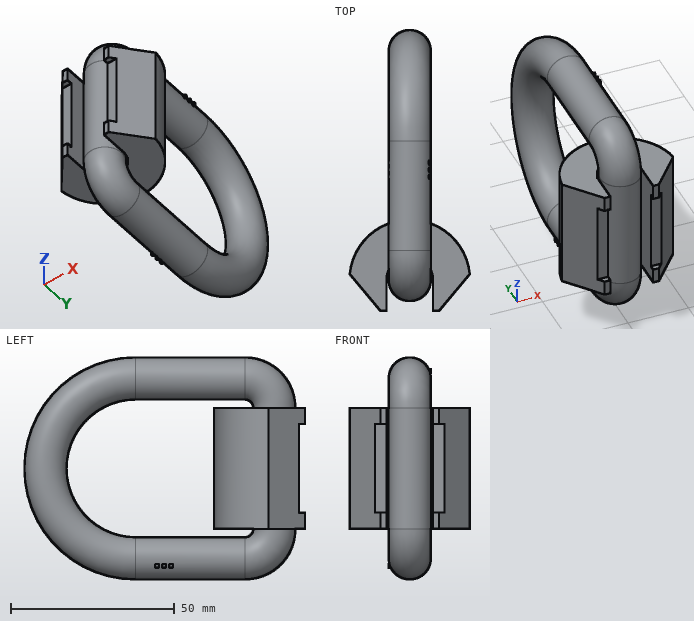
import cadquery as cq
import math


OVERALL_LENGTH = 86.0

WIRE_DIAMETER = 13.0
RING_HEIGHT = 68.0
LEG_LENGTH = 33.5
CORNER_OUTER_RADIUS = 15.5

WIRE_RADIUS = WIRE_DIAMETER / 2
BOW_RADIUS = RING_HEIGHT / 2 - WIRE_RADIUS
CORNER_RADIUS = CORNER_OUTER_RADIUS - WIRE_RADIUS
BAR_HALF_LENGTH = BOW_RADIUS - CORNER_RADIUS
BOW_CENTER_Y = CORNER_RADIUS + LEG_LENGTH

STUD_DIAMETER = 1.3
STUD_COUNT = 3
STUD_PITCH = 2.15
STUD_ROW_FROM_BOW = 8.8
STUD_ROW_OFFSET = 2.3
STUD_FACE_X = 6.5

SADDLE_RADIUS = 18.5
SADDLE_HEIGHT = 37.0
CHANNEL_WIDTH = 14.2
FOOT_WIDTH = 18.0
BEVEL_DEPTH = 11.3
RELIEF_DEPTH = 1.9
RELIEF_HEIGHT = 27.1

FOOT_Y = BOW_CENTER_Y + RING_HEIGHT / 2 - OVERALL_LENGTH
BEVEL_TOP_Y = FOOT_Y + BEVEL_DEPTH
BEVEL_TOP_X = math.sqrt(SADDLE_RADIUS**2 - BEVEL_TOP_Y**2)


def wire_ring():
    """Round wire swept along the closed D-shaped centreline."""
    corner_mid_y = CORNER_RADIUS * (1 - math.sqrt(0.5))
    corner_mid_z = BAR_HALF_LENGTH + CORNER_RADIUS * math.sqrt(0.5)
    centreline = (
        cq.Workplane("YZ")
        .moveTo(0, -BAR_HALF_LENGTH)
        .lineTo(0, BAR_HALF_LENGTH)
        .threePointArc((corner_mid_y, corner_mid_z), (CORNER_RADIUS, BOW_RADIUS))
        .lineTo(BOW_CENTER_Y, BOW_RADIUS)
        .threePointArc((BOW_CENTER_Y + BOW_RADIUS, 0), (BOW_CENTER_Y, -BOW_RADIUS))
        .lineTo(CORNER_RADIUS, -BOW_RADIUS)
        .threePointArc((corner_mid_y, -corner_mid_z), (0, -BAR_HALF_LENGTH))
        .close()
    )
    section = cq.Workplane("XY").workplane(offset=-BAR_HALF_LENGTH).circle(WIRE_RADIUS)
    return section.sweep(centreline)


def stud_row():
    """Studs on the -X face of the lower leg, rooted in the middle of the wire."""
    row_y = BOW_CENTER_Y - STUD_ROW_FROM_BOW
    row_z = -(BOW_RADIUS + STUD_ROW_OFFSET)
    return (
        cq.Workplane("YZ")
        .center(row_y, row_z)
        .rarray(STUD_PITCH, 0.9, STUD_COUNT, 1)
        .circle(STUD_DIAMETER / 2)
        .extrude(-STUD_FACE_X)
    )


def make_ring():
    """Wire ring with a stud row on each side, alike under a half turn about Y."""
    ring = wire_ring()
    for turn in (0, 180):
        ring = ring.union(stud_row().rotate((0, 0, 0), (0, 1, 0), turn))
    return ring


def saddle_blank():
    """Round-backed block with bevelled flanks running down to the feet."""
    return (
        cq.Workplane("XY")
        .moveTo(-FOOT_WIDTH / 2, FOOT_Y)
        .lineTo(FOOT_WIDTH / 2, FOOT_Y)
        .lineTo(BEVEL_TOP_X, BEVEL_TOP_Y)
        .threePointArc((0, SADDLE_RADIUS), (-BEVEL_TOP_X, BEVEL_TOP_Y))
        .close()
        .extrude(SADDLE_HEIGHT / 2, both=True)
    )


def bar_channel():
    """U-shaped channel around the bar, open through the foot faces."""
    half_width = CHANNEL_WIDTH / 2
    return (
        cq.Workplane("XY")
        .moveTo(-half_width, FOOT_Y)
        .lineTo(half_width, FOOT_Y)
        .lineTo(half_width, 0)
        .threePointArc((0, half_width), (-half_width, 0))
        .close()
        .extrude(SADDLE_HEIGHT / 2, both=True)
    )


def foot_relief():
    """Shallow cut across both foot faces, leaving a pad at each end."""
    return (
        cq.Workplane("XY")
        .box(2 * SADDLE_RADIUS, RELIEF_DEPTH, RELIEF_HEIGHT)
        .translate((0, FOOT_Y + RELIEF_DEPTH / 2, 0))
    )


def make_saddle():
    """Saddle block with its bar channel and relieved feet."""
    return saddle_blank().cut(bar_channel()).cut(foot_relief())


ring = make_ring()
saddle = make_saddle()

result = cq.Compound.makeCompound([ring.solids().val(), saddle.solids().val()])